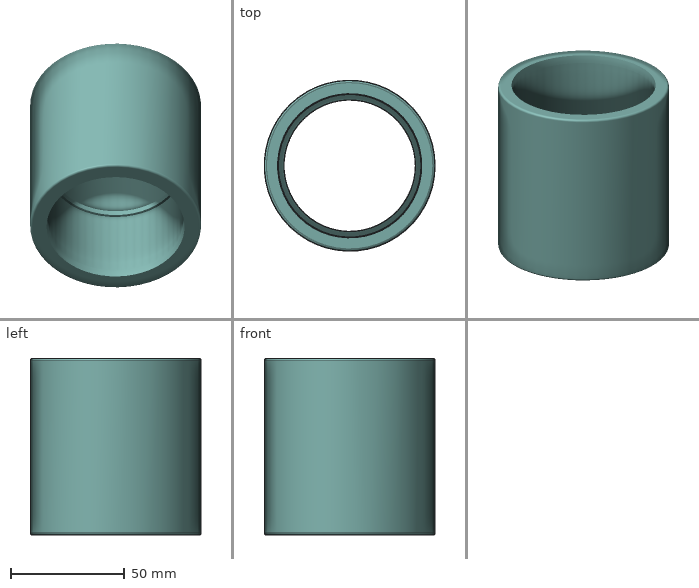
import math

import cadquery as cq

outer_diameter = 75.5
length = 78.0
edge_radius = 1.0

upper_socket_diameter = 63.0
lower_socket_diameter = 60.3
stop_diameter = 58.0
upper_socket_depth = 38.0
stop_height = 2.5
lower_socket_depth = length - upper_socket_depth - stop_height

flare_depth = 3.5
flare_radius = 18.0


def make_cylinder(diameter):
    """Full-length cylinder on the Z axis, centred on the origin."""
    return cq.Workplane("XY").workplane(offset=-length / 2).circle(diameter / 2).extrude(length)


def flare_widening(depth_along_flare):
    """Radial growth of the flare at a given distance above its tangent point."""
    return flare_radius - math.sqrt(flare_radius**2 - depth_along_flare**2)


def make_socket(diameter, depth):
    """Cutter for a flared socket that opens at the +Z end."""
    bore_radius = diameter / 2
    mouth_z = length / 2
    floor_z = mouth_z - depth
    flare_start_z = mouth_z - flare_depth
    flare_middle = (bore_radius + flare_widening(flare_depth / 2), flare_start_z + flare_depth / 2)
    flare_end = (bore_radius + flare_widening(flare_depth), mouth_z)
    profile = (
        cq.Workplane("XZ")
        .moveTo(0, floor_z)
        .lineTo(bore_radius, floor_z)
        .lineTo(bore_radius, flare_start_z)
        .threePointArc(flare_middle, flare_end)
        .lineTo(0, mouth_z)
        .close()
    )
    return profile.revolve(360, (0, 0, 0), (0, 1, 0))


sleeve = make_cylinder(outer_diameter).edges("%CIRCLE").fillet(edge_radius)
stop_bore = make_cylinder(stop_diameter)
upper_socket = make_socket(upper_socket_diameter, upper_socket_depth)
lower_socket = make_socket(lower_socket_diameter, lower_socket_depth).mirror("XY")

result = sleeve.cut(stop_bore).cut(upper_socket).cut(lower_socket)